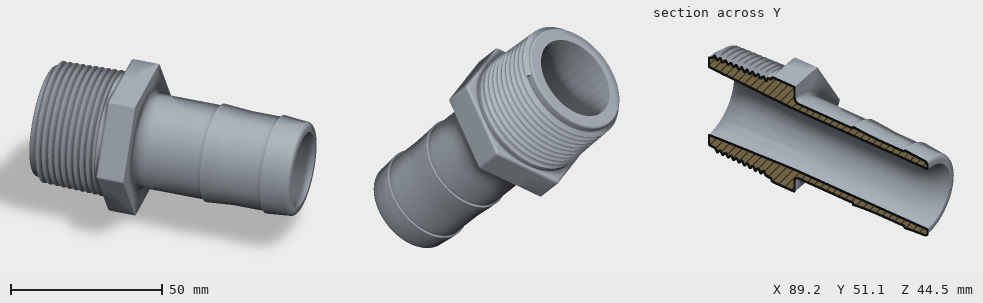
import cadquery as cq
import math

total_length = 89.15
hex_start = 25.4
hex_end = 35.0

root_start_diameter = 37.6
thread_taper = 1 / 16
thread_start = 1.7
thread_start_angle = -20
thread_turns = 10.5
thread_length = 23.2
thread_pitch = thread_length / thread_turns
ridge_width = 2.0
ridge_height = 1.6
ridge_overlap = 0.2
nose_fillet = 0.7

collar_start = 23.7
collar_diameter = 42.2

across_flats = 44.5
hex_fillet = 0.9

shank_diameter = 31.7
barb_diameter = 33.2
barb_spans = [(58.7, 68.3), (79.5, 87.55)]
shank_root_fillet = 1.5
tip_fillet = total_length - barb_spans[-1][1]

bore_mouth_diameter = 28.7
bore_diameter = 25.4
bore_taper_end = hex_end


def root_radius(x):
    return (root_start_diameter + thread_taper * x) / 2


def cylinder(start, end, diameter):
    return cq.Workplane("YZ", origin=(start, 0, 0)).circle(diameter / 2).extrude(end - start)


def turned(points):
    """Revolve a closed (x, radius) outline about the X axis."""
    return cq.Workplane("XY").polyline(points).close().revolve(360, (0, 0, 0), (1, 0, 0))


def thread_core():
    core = turned([
        (0, 0),
        (0, root_radius(0)),
        (collar_start, root_radius(collar_start)),
        (collar_start, 0),
    ])
    return core.faces("<X").edges().fillet(nose_fillet)


def thread_ridge():
    """Sharp V ridge swept along a right-handed conical helix that starts near the +Y side."""
    half_angle = math.degrees(math.atan(thread_taper / 2))
    start_radius = root_radius(thread_start)
    helix = cq.Wire.makeHelix(thread_pitch, thread_length, start_radius, angle=half_angle)
    foot_half_width = ridge_width / 2 * (1 + ridge_overlap / ridge_height)
    profile = (
        cq.Workplane("XZ")
        .polyline([
            (start_radius - ridge_overlap, -foot_half_width),
            (start_radius + ridge_height, 0),
            (start_radius - ridge_overlap, foot_half_width),
        ])
        .close()
    )
    ridge = profile.sweep(cq.Workplane(obj=helix), isFrenet=True)
    ridge = ridge.rotate((0, 0, 0), (1, 1, 1), 120)
    ridge = ridge.rotate((0, 0, 0), (1, 0, 0), thread_start_angle)
    ridge = ridge.translate((thread_start, 0, 0))
    return ridge.cut(cylinder(collar_start, hex_end, across_flats))


def hexagon():
    across_corners = across_flats / math.cos(math.pi / 6)
    prism = (
        cq.Workplane("YZ", origin=(hex_start, 0, 0))
        .polygon(6, across_corners)
        .extrude(hex_end - hex_start)
    )
    return prism.edges("|X").fillet(hex_fillet).faces("<X").edges().fillet(hex_fillet)


def barb(start, end):
    return turned([(start, 0), (start, barb_diameter / 2), (end, shank_diameter / 2), (end, 0)])


def shank_root():
    """Concave fillet ring between the hexagon and the shank."""
    shank_radius = shank_diameter / 2
    outer_radius = shank_radius + shank_root_fillet
    fillet_end = hex_end + shank_root_fillet
    sagitta = shank_root_fillet * (1 - math.sqrt(0.5))
    return (
        cq.Workplane("XY")
        .moveTo(hex_end, 0)
        .lineTo(hex_end, outer_radius)
        .threePointArc((hex_end + sagitta, shank_radius + sagitta), (fillet_end, shank_radius))
        .lineTo(fillet_end, 0)
        .close()
        .revolve(360, (0, 0, 0), (1, 0, 0))
    )


def shank():
    body = cylinder(hex_end, total_length, shank_diameter)
    body = body.faces(">X").edges().fillet(tip_fillet)
    for start, end in barb_spans:
        body = body.union(barb(start, end))
    return body.union(shank_root())


def bore():
    return turned([
        (0, 0),
        (0, bore_mouth_diameter / 2),
        (bore_taper_end, bore_diameter / 2),
        (total_length, bore_diameter / 2),
        (total_length, 0),
    ])


collar = cylinder(collar_start, hex_start, collar_diameter)
outside = thread_core().union(collar).union(hexagon()).union(shank())
result = outside.union(thread_ridge()).cut(bore())